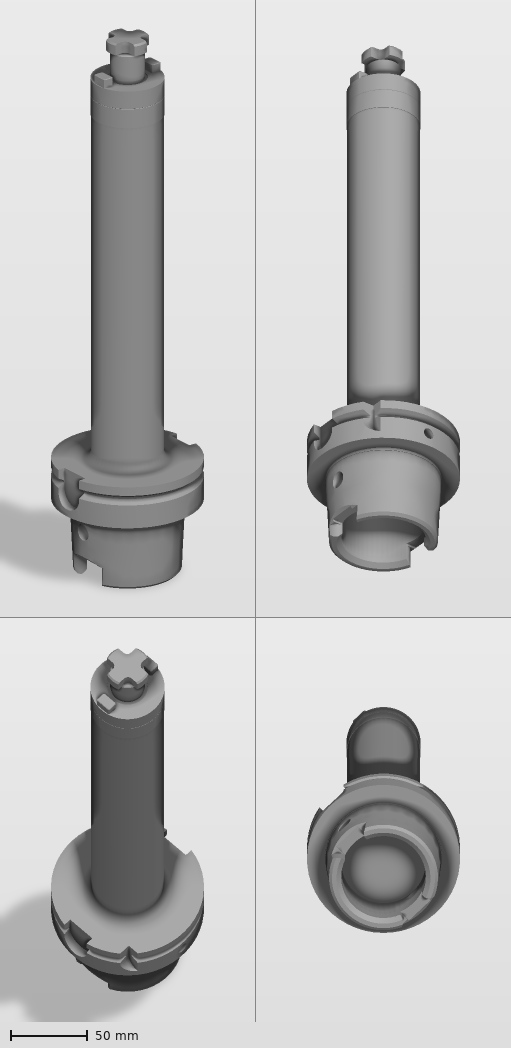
import cadquery as cq

total_height = 379.0

shank_end_radius = 35.5
shank_top_radius = 38.0
shank_neck_radius = 38.3
shank_neck_height = 2.0
shank_end_chamfer = 2.0
bore_radius = 27.5
bore_depth = 41.5
bore_chamfer = 3.0
cross_hole_radius = 5.5
cross_hole_z = 35.2

flange_radius = 50.0
flange_bottom = 50.0
flange_top = 79.2
groove_radius = 45.5
groove_lower_edge = 66.3
groove_upper_edge = 73.0
groove_cone_height = 2.5

slot_floor = 43.5
slot_bottom = 55.0
slot_corner_radius = 10.0
front_slot_width = 22.0
back_slot_width = 20.0
notch_offset = 31.0
side_hole_radius = 3.8
side_hole_depth = 7.5
side_hole_tip = 2.3
side_hole_z = 59.5

bar_radius = 24.0
bar_fillet = 5.5
collar_radius = 24.2
collar_bottom = 324.0
collar_joint = 337.5
collar_top = 350.0
joint_groove = 0.2

spigot_radius = 11.5
spigot_top = 369.8
spigot_chamfer = 0.8
relief_radius = 11.0
relief_height = 1.5
recess_radius = 13.3
recess_depth = 0.8
neck_radius = 5.5
head_bottom = 371.0
head_radius = 14.8
head_chamfer = 1.0
arm_width = 10.2
arm_half_width = arm_width / 2
arm_corner_radius = 3.5

key_width = 11.5
key_inner = 16.3
key_outer = 23.5
key_height = 6.0
key_corner_chamfer = 0.8
key_top_chamfer = 0.5

keyway_half_width = 10.0
keyway_round = 7.0
keyway_flat = 32.5
front_keyway_height = 15.0
back_keyway_height = 11.0
keyway_top_step = 1.5


def block(x0, x1, y0, y1, z0, z1):
    """Axis-aligned box between two corners."""
    return cq.Workplane("XY").box(x1 - x0, y1 - y0, z1 - z0, centered=False).translate((x0, y0, z0))


def turned_body():
    """Everything that is round about Z, from the shank up to the screw neck."""
    return (
        cq.Workplane("XZ")
        .lineTo(shank_end_radius - shank_end_chamfer, 0)
        .lineTo(shank_end_radius, shank_end_chamfer)
        .lineTo(shank_top_radius, flange_bottom - shank_neck_height)
        .lineTo(shank_neck_radius, flange_bottom - shank_neck_height)
        .lineTo(shank_neck_radius, flange_bottom)
        .lineTo(flange_radius, flange_bottom)
        .lineTo(flange_radius, groove_lower_edge)
        .lineTo(groove_radius, groove_lower_edge + groove_cone_height)
        .lineTo(groove_radius, groove_upper_edge - groove_cone_height)
        .lineTo(flange_radius, groove_upper_edge)
        .lineTo(flange_radius, flange_top)
        .lineTo(bar_radius + bar_fillet, flange_top)
        .radiusArc((bar_radius, flange_top + bar_fillet), bar_fillet)
        .lineTo(bar_radius, collar_bottom)
        .lineTo(collar_radius, collar_bottom)
        .lineTo(collar_radius, collar_joint - joint_groove)
        .lineTo(collar_radius - joint_groove, collar_joint)
        .lineTo(collar_radius, collar_joint + joint_groove)
        .lineTo(collar_radius, collar_top)
        .lineTo(recess_radius, collar_top)
        .lineTo(recess_radius, collar_top - recess_depth)
        .lineTo(relief_radius, collar_top - recess_depth)
        .lineTo(relief_radius, collar_top + relief_height)
        .lineTo(spigot_radius, collar_top + relief_height)
        .lineTo(spigot_radius, spigot_top - spigot_chamfer)
        .lineTo(spigot_radius - spigot_chamfer, spigot_top)
        .lineTo(neck_radius, spigot_top)
        .lineTo(neck_radius, head_bottom)
        .lineTo(0, head_bottom)
        .close()
        .revolve(360, (0, 0, 0), (0, 1, 0))
    )


def screw_head():
    """Chamfered disc cut to a cross with rounded inner corners."""
    height = total_height - head_bottom
    disc = cq.Workplane("XY").circle(head_radius).extrude(height).faces(">Z").chamfer(head_chamfer)
    arm_length = 2 * head_radius
    cross = (
        cq.Workplane("XY")
        .rect(2 * arm_length, 2 * arm_half_width)
        .extrude(height)
        .union(cq.Workplane("XY").rect(2 * arm_half_width, 2 * arm_length).extrude(height))
    )
    reach = arm_half_width + arm_corner_radius
    inner_corners = cq.selectors.BoxSelector((-reach, -reach, -height), (reach, reach, 2 * height))
    cross = cross.edges("|Z").edges(inner_corners).fillet(arm_corner_radius)
    return disc.intersect(cross).translate((0, 0, head_bottom))


def driving_key():
    """Key standing on the collar face on the -Y side."""
    half = key_width / 2
    key = block(-half, half, -key_outer, -key_inner, collar_top, collar_top + key_height)
    return key.edges("|Z").chamfer(key_corner_chamfer).faces(">Z").chamfer(key_top_chamfer)


def round_corner_slot(width):
    """Cutter for a slot open at the flange top with rounded lower corners, reaching from Y = 0 to -Y."""
    return (
        block(-width / 2, width / 2, -flange_radius, 0, slot_bottom, flange_top)
        .edges("|Y and <Z")
        .fillet(slot_corner_radius)
    )


def full_round_slot(width):
    """Cutter for a slot open at the flange top with a half-round bottom, reaching from Y = 0 to -Y."""
    round_z = slot_bottom + width / 2
    bottom = cq.Workplane("XZ").center(0, round_z).circle(width / 2).extrude(flange_radius)
    return bottom.union(block(-width / 2, width / 2, -flange_radius, 0, round_z, flange_top))


def keyway(height):
    """Cutter for a keyway on the -Y side whose mouth flares out over rounded edges."""
    flare_x = keyway_half_width + keyway_round
    flare_y = keyway_flat - keyway_round
    outside = shank_neck_radius
    flare_top = height - keyway_top_step
    channel = block(-keyway_half_width, keyway_half_width, -outside, 0, 0, height)
    flare = (
        cq.Workplane("XY")
        .moveTo(-keyway_half_width, -flare_y)
        .lineTo(keyway_half_width, -flare_y)
        .radiusArc((flare_x, -keyway_flat), -keyway_round)
        .lineTo(outside, -keyway_flat)
        .lineTo(outside, -outside)
        .lineTo(-outside, -outside)
        .lineTo(-outside, -keyway_flat)
        .lineTo(-flare_x, -keyway_flat)
        .radiusArc((-keyway_half_width, -flare_y), -keyway_round)
        .close()
        .extrude(flare_top)
    )
    sloped_top = (
        cq.Workplane("YZ")
        .moveTo(-keyway_flat, flare_top)
        .lineTo(-outside, flare_top + outside - keyway_flat)
        .lineTo(-outside, flare_top)
        .close()
        .extrude(outside, both=True)
    )
    return channel.union(flare).union(sloped_top)


def turn_to_back(shape):
    """Half turn about Z, moving a -Y feature to the +Y side."""
    return shape.rotate((0, 0, 0), (0, 0, 1), 180)


body = turned_body().union(screw_head())
body = body.union(driving_key()).union(turn_to_back(driving_key()))

bore = cq.Workplane("XY").circle(bore_radius).extrude(bore_depth)
body = body.cut(bore)
mouth_cone = (
    cq.Workplane("XZ")
    .lineTo(bore_radius + bore_chamfer, 0)
    .lineTo(bore_radius, bore_chamfer)
    .lineTo(0, bore_chamfer)
    .close()
    .revolve(360, (0, 0, 0), (0, 1, 0))
)
body = body.cut(mouth_cone)
cross_hole = (
    cq.Workplane("XZ").center(0, cross_hole_z).circle(cross_hole_radius).extrude(flange_radius, both=True)
)
body = body.cut(cross_hole)
body = body.cut(keyway(front_keyway_height))
body = body.cut(turn_to_back(keyway(back_keyway_height)))

front_slot = round_corner_slot(front_slot_width).translate((0, -slot_floor, 0))
back_slot = turn_to_back(full_round_slot(back_slot_width).translate((0, -slot_floor, 0)))
notch = turn_to_back(full_round_slot(back_slot_width)).translate(
    (-notch_offset - back_slot_width / 2, notch_offset, 0)
)
body = body.cut(front_slot).cut(back_slot).cut(notch)

side_hole = (
    cq.Workplane("XY")
    .lineTo(side_hole_depth + side_hole_tip, 0)
    .lineTo(side_hole_depth, side_hole_radius)
    .lineTo(0, side_hole_radius)
    .close()
    .revolve(360, (0, 0, 0), (1, 0, 0))
    .translate((-flange_radius, 0, side_hole_z))
)
result = body.cut(side_hole)